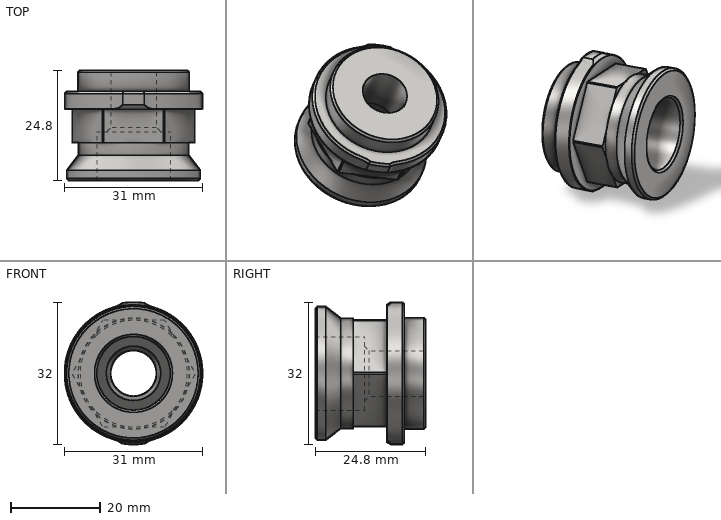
import cadquery as cq
import math


lip_end = 2.3
cone_end = 5.7
hex_start = 8.5
flange_start = 16.0
flange_end = 20.0
total_length = 24.8

lip_radius = 30.0 / 2
neck_radius = 24.8 / 2
spigot_radius = 25.0 / 2
hex_across_flats = 24.0
hex_corner_radius = 27.5 / 2
edge_chamfer = 0.5

flange_radius = 31.0 / 2
lug_radius = 32.0 / 2
lug_width = 4.92
lug_blend_radius = 5.0
lug_bevel_length = 1.0
flange_front_chamfer = 0.15

bore_radius = 16.5 / 2
bore_depth = 11.0
through_radius = 10.2 / 2
through_chamfer = 1.0


def disc(radius, start, end):
    """Cylinder on the Y axis between two stations."""
    return cq.Workplane("XZ", origin=(0, start, 0)).circle(radius).extrude(start - end)


def revolve_about_y(points):
    """Solid of revolution from (radius, station) points."""
    return cq.Workplane("XY").polyline(points).close().revolve(360, (0, 0, 0), (0, 1, 0))


def make_front_lip():
    """Chamfered lip that tapers back to the neck."""
    return revolve_about_y([
        (0, 0),
        (lip_radius - edge_chamfer, 0),
        (lip_radius, edge_chamfer),
        (lip_radius, lip_end),
        (neck_radius, cone_end),
        (neck_radius, hex_start),
        (0, hex_start),
    ])


def make_hexagon():
    """Hexagon with flats facing +Z and -Z and its corners turned down."""
    corner_diameter = hex_across_flats / math.cos(math.pi / 6)
    prism = (
        cq.Workplane("XZ", origin=(0, hex_start, 0))
        .polygon(6, corner_diameter)
        .extrude(hex_start - flange_start)
    )
    return prism.intersect(disc(hex_corner_radius, hex_start, flange_start))


def polar(radius, angle):
    """Point at an angle measured from the +Z direction towards +X."""
    return (radius * math.sin(angle), radius * math.cos(angle))


def make_flange():
    """Round flange with a lug at the top and bottom, blended in by concave arcs."""
    lug_angle = math.asin(lug_width / 2 / lug_radius)
    blend_center_radius = flange_radius + lug_blend_radius
    cos_blend = (blend_center_radius**2 + lug_radius**2 - lug_blend_radius**2) / (
        2 * blend_center_radius * lug_radius
    )
    tangent_angle = lug_angle + math.acos(cos_blend)

    corner_x, corner_z = polar(lug_radius, lug_angle)
    tangent_x, tangent_z = polar(flange_radius, tangent_angle)
    center_x, center_z = polar(blend_center_radius, tangent_angle)
    chord_dx = (corner_x + tangent_x) / 2 - center_x
    chord_dz = (corner_z + tangent_z) / 2 - center_z
    reach = lug_blend_radius / math.hypot(chord_dx, chord_dz)
    middle_x = center_x + reach * chord_dx
    middle_z = center_z + reach * chord_dz

    flange = (
        cq.Workplane("XZ", origin=(0, flange_start, 0))
        .moveTo(-corner_x, corner_z)
        .threePointArc((0, lug_radius), (corner_x, corner_z))
        .threePointArc((middle_x, middle_z), (tangent_x, tangent_z))
        .threePointArc((flange_radius, 0), (tangent_x, -tangent_z))
        .threePointArc((middle_x, -middle_z), (corner_x, -corner_z))
        .threePointArc((0, -lug_radius), (-corner_x, -corner_z))
        .threePointArc((-middle_x, -middle_z), (-tangent_x, -tangent_z))
        .threePointArc((-flange_radius, 0), (-tangent_x, tangent_z))
        .threePointArc((-middle_x, middle_z), (-corner_x, corner_z))
        .close()
        .extrude(flange_start - flange_end)
    )
    flange = flange.faces(">Y").chamfer(edge_chamfer)

    front_radius = flange_radius - flange_front_chamfer
    bevel_start = flange_start + flange_front_chamfer
    envelope = revolve_about_y([
        (0, flange_start),
        (front_radius, flange_start),
        (flange_radius, bevel_start),
        (lug_radius, flange_start + lug_bevel_length),
        (lug_radius, flange_end),
        (0, flange_end),
    ])
    return flange.intersect(envelope)


def make_spigot():
    """Plain rear spigot with a chamfered end."""
    return disc(spigot_radius, flange_end, total_length).faces(">Y").edges().chamfer(edge_chamfer)


def make_bore():
    """Stepped bore, chamfered at the mouth and at the inner step."""
    return revolve_about_y([
        (0, 0),
        (bore_radius + edge_chamfer, 0),
        (bore_radius, edge_chamfer),
        (bore_radius, bore_depth),
        (through_radius + through_chamfer, bore_depth),
        (through_radius, bore_depth + through_chamfer),
        (through_radius, total_length),
        (0, total_length),
    ])


body = make_front_lip().union(make_hexagon()).union(make_flange()).union(make_spigot())
result = body.cut(make_bore())